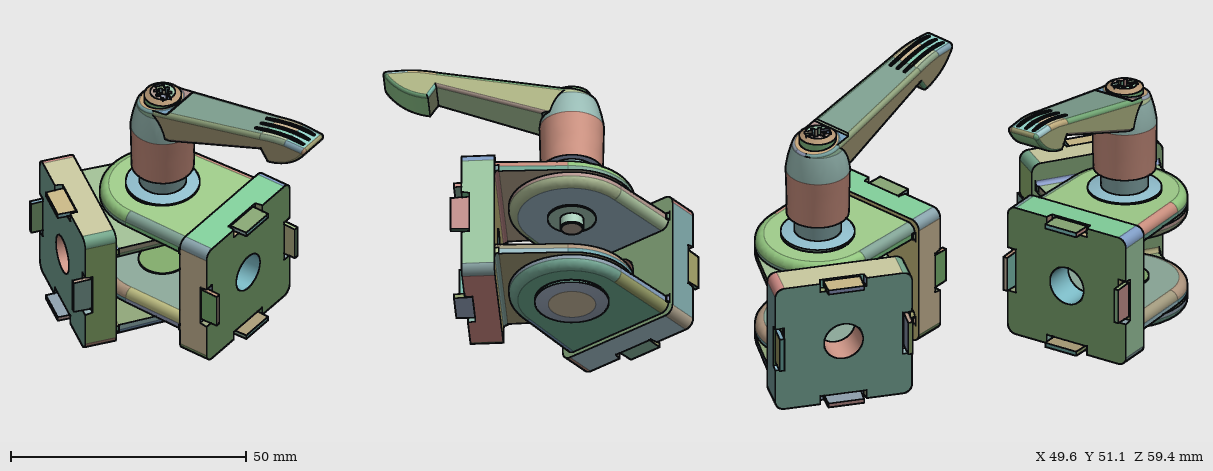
import cadquery as cq
import math

PLATE_SIDE = 30.0
PLATE_SIDE_COUNT = 4
PLATE_THICKNESS = 7.0
PLATE_FACE_TO_AXIS = 22.5
PLATE_CORNER_RADIUS = 2.0
PLATE_HOLE_RADIUS = 4.3
SWING_ANGLE = 35

TAB_REACH = 2.4
TAB_WIDTH = 8.1
TAB_TIP_WIDTH = 7.85
TAB_THICKNESS = 1.0
TAB_EDGE_OFFSET = 0.4
NOTCH_WIDTH = 9.6
NOTCH_MOUTH_WIDTH = 10.2
NOTCH_DEPTH = 1.65
NOTCH_INSET = 2.0

LUG_RADIUS = 13.4
LUG_ROOT_HALF_WIDTH = 13.85
LUG_ROOT_THICKNESS = 3.2
LUG_TIP_THICKNESS = 2.75
LUG_FILLET = 1.9
LUG_GAP = 0.65
LOWER_LUG_TOP = 4.2
PAD_RADIUS = 5.15
PAD_THICKNESS = 3.25
ROOT_FILLET = 0.9
ROOT_FLARE = 0.35

STUD_RADIUS = 2.5
STUD_BOTTOM = 19.4
STUD_CHAMFER = 0.25
STEM_RADIUS = 5.05
STEM_TOP = 45.15

CAP_RADIUS = 7.9
CAP_RECESS = 0.55
CAP_HEIGHT = 1.1
CAP_RIM_HEIGHT = 0.65
CAP_BULGE_RADIUS = 6.4
CAP_BULGE_HEIGHT = 0.95
PIVOT_DEPTH_IN_LUG = 1.8

HUB_BOTTOM = 33.9
HUB_BOTTOM_RADIUS = 6.65
HUB_WAIST = 44.85
HUB_WAIST_RADIUS = 6.9
HUB_SHOULDER_RADIUS = 5.6
HUB_SHOULDER = 50.6
HUB_TOP = 53.45
HUB_TOP_RADIUS = 4.7
HUB_TOP_FILLET = 0.7
HUB_TOP_AT_AXIS = 51.9
HUB_TOP_SLOPE = 0.17
HUB_BULGE_RADIUS = 6.35
HUB_BULGE = 47.9

ARM_END = 40.4
ARM_HEEL = (6.05, 46.0)
HOOK_INSIDE = (28.6, 54.3)
HOOK_BOTTOM = (30.4, 51.6)
HOOK_BULGE = (36.95, 54.5)
ARM_CREST = (34.75, 59.1)
ARM_BEND_MIDDLE = (31.5, 58.75)
ARM_BEND = (28.3, 58.0)
ARM_STEP_FOOT = (4.4, 52.6)
ARM_START = 0.6
ARM_START_BOTTOM = 46.3
ARM_START_TOP = 51.95
ARM_END_TOP = 59.0
ARM_ROOT_TOP = 53.0
ARM_ROOT_HALF_WIDTH = 5.3
ARM_TIP_HALF_WIDTH = 3.75
ARM_ROOT_END = 4.8
ARM_TOP_FILLET = 0.95
ARM_BOTTOM_FILLET = 0.65
ARM_MIDDLE_AT_AXIS = 49.9
ARM_MIDDLE_SLOPE = 0.2
RIB_START = 25.85
RIB_END = 38.6
RIB_BOTTOM = 57.0
RIB_START_TOP = 57.6
RIB_END_TOP = 59.05
RIB_CREST_START = 35.05
RIB_CREST_END = 36.8
RIB_BEND = (31.5, 59.0)
RIB_SPACING = 1.95
RIB_WIDTH = 0.55
OVERALL_HEIGHT = 59.4

HEAD_RADIUS = 4.0
HEAD_SEAT = 50.8
HEAD_TOP = 53.7
HEAD_SHOULDER = 53.0
HEAD_FLAT_RADIUS = 2.7
SCREW_BOTTOM = 39.2
SLOT_LENGTH = 5.45
SLOT_WIDTH = 1.9
SLOT_DEPTH = 0.6
SOCKET_DEPTH = 1.8
SOCKET_POINT_DEPTH = 0.9
SOCKET_CORE_RADIUS = 1.3
LOBE_RADIUS = 0.4
LOBE_CIRCLE_RADIUS = 1.55
LOBE_COUNT = 6

MID_HEIGHT = PLATE_SIDE / 2
PLATE_BACK = -PLATE_FACE_TO_AXIS + PLATE_THICKNESS
UPPER_LUG_TOP = PLATE_SIDE - LOWER_LUG_TOP - LUG_GAP
LUG_TOPS = (LOWER_LUG_TOP, UPPER_LUG_TOP)
LOWER_CAP_SEAT = LOWER_LUG_TOP - PAD_THICKNESS + CAP_RECESS
UPPER_CAP_SEAT = PLATE_SIDE - LOWER_CAP_SEAT
ROOT_DEPTH = LUG_ROOT_THICKNESS - LUG_FILLET
STEM_BOTTOM = UPPER_CAP_SEAT + CAP_HEIGHT
PIVOT_TOP = LOWER_LUG_TOP + LUG_GAP + PIVOT_DEPTH_IN_LUG


def cylinder(radius, bottom, top):
    """Cylinder on the hinge axis between two heights."""
    return cq.Workplane("XY", origin=(0, 0, bottom)).circle(radius).extrude(top - bottom)


def trapezoid_block(inner_width, outer_width, inner_y, outer_y, bottom, top):
    """Block whose width changes from its inner to its outer end."""
    return (
        cq.Workplane("XY", origin=(0, 0, bottom))
        .polyline([
            (-inner_width / 2, inner_y),
            (inner_width / 2, inner_y),
            (outer_width / 2, outer_y),
            (-outer_width / 2, outer_y),
        ])
        .close()
        .extrude(top - bottom)
    )


def around_plate(shape):
    """Four copies of a shape, one for each side of the square plate."""
    axis_start = (0, 0, MID_HEIGHT)
    axis_end = (0, 1, MID_HEIGHT)
    return [shape.rotate(axis_start, axis_end, 360 / PLATE_SIDE_COUNT * k) for k in range(PLATE_SIDE_COUNT)]


def make_plate():
    """Square plate with a through hole and a notched tab at the middle of each edge."""
    face = -PLATE_FACE_TO_AXIS
    plate = (
        cq.Workplane("XZ", origin=(0, PLATE_BACK, MID_HEIGHT))
        .rect(PLATE_SIDE, PLATE_SIDE)
        .extrude(PLATE_THICKNESS)
        .edges("|Y")
        .fillet(PLATE_CORNER_RADIUS)
        .faces("<Y")
        .workplane(centerOption="CenterOfBoundBox")
        .hole(2 * PLATE_HOLE_RADIUS)
    )
    notch = trapezoid_block(
        NOTCH_WIDTH, NOTCH_MOUTH_WIDTH, face + NOTCH_DEPTH, face, PLATE_SIDE - NOTCH_INSET, PLATE_SIDE
    )
    tab_top = PLATE_SIDE - TAB_EDGE_OFFSET
    tab = trapezoid_block(
        TAB_WIDTH, TAB_TIP_WIDTH, face + NOTCH_DEPTH, face - TAB_REACH, tab_top - TAB_THICKNESS, tab_top
    )
    for cutter in around_plate(notch):
        plate = plate.cut(cutter)
    for copy in around_plate(tab):
        plate = plate.union(copy)
    return plate


def make_lug(top):
    """Round-ended lug with a flat top, a tapered underside and a flat round pad."""
    outline = (
        cq.Workplane("XY", origin=(0, 0, top - PAD_THICKNESS))
        .moveTo(-LUG_ROOT_HALF_WIDTH, PLATE_BACK)
        .lineTo(LUG_ROOT_HALF_WIDTH, PLATE_BACK)
        .lineTo(LUG_RADIUS, 0)
        .threePointArc((0, LUG_RADIUS), (-LUG_RADIUS, 0))
        .close()
        .extrude(PAD_THICKNESS)
    )
    side_profile = (
        cq.Workplane("YZ")
        .polyline([
            (PLATE_BACK, top),
            (LUG_RADIUS, top),
            (LUG_RADIUS, top - LUG_TIP_THICKNESS),
            (PLATE_BACK, top - LUG_ROOT_THICKNESS),
        ])
        .close()
        .extrude(LUG_ROOT_HALF_WIDTH, both=True)
    )
    lug = outline.intersect(side_profile)
    lug = lug.faces("<Z").edges("not <Y").fillet(LUG_FILLET)
    return lug.union(cylinder(PAD_RADIUS, top - PAD_THICKNESS, top))


def make_root_fillet(top):
    """Concave fillet between the flat top of a lug and the back of the plate."""
    middle = ROOT_FILLET * (1 - math.sqrt(0.5))
    return (
        cq.Workplane("YZ")
        .moveTo(PLATE_BACK, top - ROOT_DEPTH)
        .lineTo(PLATE_BACK + ROOT_FILLET, top - ROOT_DEPTH)
        .lineTo(PLATE_BACK + ROOT_FILLET, top)
        .threePointArc((PLATE_BACK + middle, top + middle), (PLATE_BACK, top + ROOT_FILLET))
        .close()
        .extrude(LUG_ROOT_HALF_WIDTH + ROOT_FLARE, both=True)
    )


def make_bracket():
    """Plate with two lugs, before the pivot holes are made."""
    bracket = make_plate()
    for top in LUG_TOPS:
        bracket = bracket.union(make_lug(top)).union(make_root_fillet(top))
    return bracket


def turned_over(bracket):
    """The same bracket turned over about its middle and swung about the hinge axis."""
    flipped = bracket.rotate((0, 0, MID_HEIGHT), (0, 1, MID_HEIGHT), 180)
    return flipped.rotate((0, 0, 0), (0, 0, 1), SWING_ANGLE + 90)


def make_cap(seat, direction):
    """Domed disc let into the outer side of a lug; direction is 1 for a dome facing up and -1 for down."""
    return (
        cq.Workplane("XZ")
        .moveTo(0, seat)
        .lineTo(CAP_RADIUS, seat)
        .lineTo(CAP_RADIUS, seat + direction * CAP_RIM_HEIGHT)
        .threePointArc(
            (CAP_BULGE_RADIUS, seat + direction * CAP_BULGE_HEIGHT),
            (STEM_RADIUS, seat + direction * CAP_HEIGHT),
        )
        .lineTo(0, seat + direction * CAP_HEIGHT)
        .close()
        .revolve(360, (0, 0, 0), (0, 1, 0))
    )


def make_hub():
    """Turned hub, slightly wider at its waist, with a curved shoulder and a top sloping up to the arm."""
    hub = (
        cq.Workplane("XZ")
        .moveTo(0, HUB_BOTTOM)
        .lineTo(HUB_BOTTOM_RADIUS, HUB_BOTTOM)
        .lineTo(HUB_WAIST_RADIUS, HUB_WAIST)
        .threePointArc((HUB_BULGE_RADIUS, HUB_BULGE), (HUB_SHOULDER_RADIUS, HUB_SHOULDER))
        .lineTo(HUB_TOP_RADIUS, HUB_TOP)
        .lineTo(0, HUB_TOP)
        .close()
        .revolve(360, (0, 0, 0), (0, 1, 0))
    )
    reach = HUB_WAIST_RADIUS
    above_slope = (
        cq.Workplane("XZ")
        .polyline([
            (-reach, HUB_TOP_AT_AXIS - HUB_TOP_SLOPE * reach),
            (reach, HUB_TOP_AT_AXIS + HUB_TOP_SLOPE * reach),
            (reach, OVERALL_HEIGHT),
            (-reach, OVERALL_HEIGHT),
        ])
        .close()
        .extrude(reach, both=True)
    )
    return hub.cut(above_slope).faces(">Z").edges().fillet(HUB_TOP_FILLET)


def is_above_arm_middle(point):
    """Tells points above the sloping middle line of the arm from those below it."""
    return point.z > ARM_MIDDLE_AT_AXIS + ARM_MIDDLE_SLOPE * point.x


def is_arm_top_edge(edge):
    """Selects the upper side edges outside the arm's root."""
    center = edge.Center()
    return center.x > ARM_ROOT_END and is_above_arm_middle(center)


def is_arm_bottom_edge(edge):
    """Selects the lower side edges outside the arm's root."""
    center = edge.Center()
    return center.x > ARM_ROOT_END and not is_above_arm_middle(center)


def make_arm():
    """Rising arm along +X with a hooked, rounded end, narrowing toward the tip."""
    side = (
        cq.Workplane("XZ")
        .moveTo(ARM_START, ARM_START_BOTTOM)
        .lineTo(*ARM_HEEL)
        .lineTo(*HOOK_INSIDE)
        .lineTo(*HOOK_BOTTOM)
        .threePointArc(HOOK_BULGE, (ARM_END, ARM_END_TOP))
        .lineTo(*ARM_CREST)
        .threePointArc(ARM_BEND_MIDDLE, ARM_BEND)
        .lineTo(ARM_ROOT_END, ARM_ROOT_TOP)
        .lineTo(*ARM_STEP_FOOT)
        .lineTo(ARM_START, ARM_START_TOP)
        .close()
        .extrude(ARM_ROOT_HALF_WIDTH, both=True)
    )
    plan = trapezoid_block(
        2 * ARM_ROOT_HALF_WIDTH, 2 * ARM_TIP_HALF_WIDTH, 0, ARM_END, HUB_BOTTOM, OVERALL_HEIGHT
    ).rotate((0, 0, 0), (0, 0, 1), -90)
    arm = side.intersect(plan)
    arm = arm.faces("<Y or >Y").edges().filter(is_arm_top_edge).fillet(ARM_TOP_FILLET)
    return arm.faces("<Y or >Y").edges().filter(is_arm_bottom_edge).fillet(ARM_BOTTOM_FILLET)


def make_ribs():
    """Three thin grip ribs along the top of the arm."""
    rib = (
        cq.Workplane("XZ")
        .moveTo(RIB_START, RIB_BOTTOM)
        .lineTo(RIB_END, RIB_BOTTOM)
        .lineTo(RIB_END, RIB_END_TOP)
        .lineTo(RIB_CREST_END, OVERALL_HEIGHT)
        .lineTo(RIB_CREST_START, OVERALL_HEIGHT)
        .threePointArc(RIB_BEND, (RIB_START, RIB_START_TOP))
        .close()
        .extrude(RIB_WIDTH / 2, both=True)
    )
    return [rib.translate((0, k * RIB_SPACING, 0)) for k in (-1, 0, 1)]


def make_lever():
    """Hub and arm with bores for the stud and the retaining screw."""
    lever = make_hub().union(make_arm())
    for rib in make_ribs():
        lever = lever.union(rib)
    lever = lever.cut(cylinder(STEM_RADIUS, HUB_BOTTOM, STEM_TOP))
    lever = lever.cut(cylinder(STUD_RADIUS, STEM_TOP, HEAD_SEAT))
    lever = lever.cut(cylinder(HEAD_RADIUS, HEAD_SEAT, OVERALL_HEIGHT))
    return lever.rotate((0, 0, 0), (0, 0, 1), SWING_ANGLE)


def make_stud():
    """Stem carrying the lever, with a thinner clamping stud below it."""
    stud = cylinder(STUD_RADIUS, STUD_BOTTOM, STEM_BOTTOM).faces("<Z").chamfer(STUD_CHAMFER)
    stem = cylinder(STEM_RADIUS, STEM_BOTTOM, STEM_TOP)
    return stud.union(stem).cut(cylinder(STUD_RADIUS, SCREW_BOTTOM, STEM_TOP))


def make_screw():
    """Round-headed retaining screw with a slot and a six-lobed socket."""
    bevel = HEAD_RADIUS - HEAD_FLAT_RADIUS
    head = cylinder(HEAD_RADIUS, HEAD_SEAT, HEAD_TOP)
    head = head.faces(">Z").chamfer(HEAD_TOP - HEAD_SHOULDER, bevel)
    screw = head.union(cylinder(STUD_RADIUS, SCREW_BOTTOM, HEAD_SEAT))
    slot = (
        cq.Workplane("XY", origin=(0, 0, HEAD_TOP)).rect(SLOT_LENGTH, SLOT_WIDTH).extrude(-SLOT_DEPTH)
    )
    socket_bottom = HEAD_TOP - SOCKET_DEPTH
    socket = cylinder(SOCKET_CORE_RADIUS, socket_bottom, HEAD_TOP)
    socket_point = cq.Workplane(
        cq.Solid.makeCone(
            0, SOCKET_CORE_RADIUS, SOCKET_POINT_DEPTH, pnt=(0, 0, socket_bottom - SOCKET_POINT_DEPTH)
        )
    )
    lobes = (
        cq.Workplane("XY", origin=(0, 0, socket_bottom))
        .polarArray(LOBE_CIRCLE_RADIUS, 0, 360, LOBE_COUNT)
        .circle(LOBE_RADIUS)
        .extrude(SOCKET_DEPTH)
    )
    return screw.cut(slot).cut(socket).cut(socket_point).cut(lobes)


stud = make_stud()
screw = make_screw()
lever = make_lever()
washer = make_cap(UPPER_CAP_SEAT, 1).cut(stud)
pivot = make_cap(LOWER_CAP_SEAT, -1).union(cylinder(STUD_RADIUS, LOWER_CAP_SEAT, PIVOT_TOP))

plain_bracket = make_bracket()
fixed_bracket = plain_bracket.cut(stud).cut(pivot)
swung_bracket = turned_over(plain_bracket).cut(stud).cut(pivot).cut(washer)

result = cq.Compound.makeCompound([
    fixed_bracket.val(),
    swung_bracket.val(),
    washer.val(),
    pivot.val(),
    stud.val(),
    lever.val(),
    screw.val(),
])